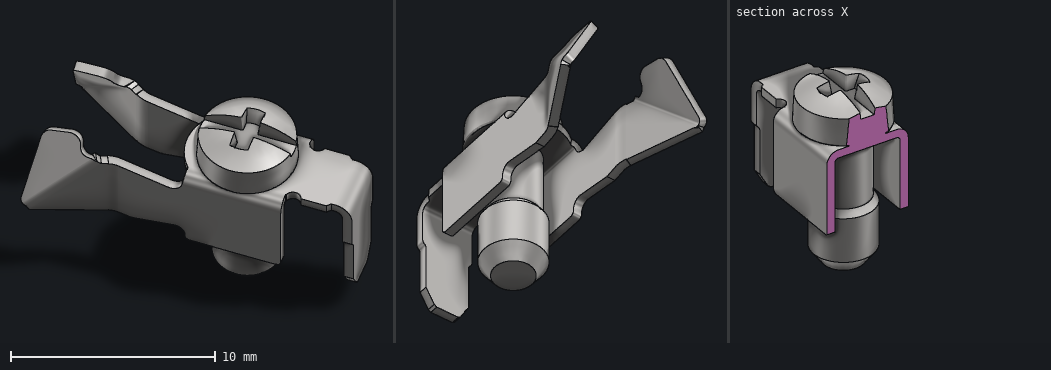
import cadquery as cq
import math


SHEET = 0.5
CLIP_HALF_WIDTH = 2.4
CHANNEL_RADIUS = 0.7
CHANNEL_BACK = 2.6
CHANNEL_FRONT = -2.62
CHANNEL_TOP_FRONT = -2.49
WALL_BOTTOM = -4.71
PLATE_HALF_WIDTH = CLIP_HALF_WIDTH - CHANNEL_RADIUS
PLATE_TIP = -3.14
BIG = 20.0

TAIL_BACK = 5.98
TAIL_BOTTOM = -6.53
TAIL_RADIUS = 0.9
TAIL_HALF_WIDTH = 1.5
TAIL_LOW_HALF_WIDTH = 1.3
TAIL_STEP_TOP = -2.6
TAIL_STEP_BOTTOM = -3.03
TAIL_TAPER_TOP = -5.57
TAIL_TAPER_BOTTOM = -6.43
TAIL_TAPER_HALF_WIDTH = 0.8
TAIL_TIP_HALF_WIDTH = 0.65
NECK_CHAMFER_START = 4.72
NECK_CHAMFER_END = 4.91
NOTCH_X = 3.02
NOTCH_RADIUS = 0.4
NOTCH_OFFSET = 0.12

ARM_LOWER_VERTEX = (-5.165, -4.22)
ARM_LOWER_SLOPE = 0.183
ARM_LOWER_BACK = (-2.4, -3.79)
ARM_UPPER_START = (-6.64, -0.353)
ARM_UPPER_SLOPE = 0.216
ARM_ROOT_TOP_RADIUS = 0.62
ARM_ROOT_BOTTOM_RADIUS = 0.5
WALL_CORNER_RADIUS = 0.25

SPLAY_ANGLE = 27.0
SPLAY_X = -6.11
SPLAY_RADIUS = 1.0
FLAP_ANGLE = 28.4
FLAP_Y = 2.65
FOLD_RADIUS = 0.8
FOLD_TOP_Z = -0.22
FOLD_BOTTOM_Z = -3.15
WEB_TIP_X = -9.83
FLAP_LOWER_TIP = (-10.33, -2.97)
FLAP_FRONT_CORNER = (-9.80, 0.60)
FLAP_TOP_CORNER = (-7.85, 0.87)
FLAP_NOTCH_CORNER = (-7.75, -0.10)
FLAP_NOTCH_END = (-7.15, -0.13)
FLAP_TIP_RADIUS = 0.35
FLAP_FRONT_RADIUS = 0.55
FLAP_TOP_RADIUS = 0.6
FLAP_NOTCH_RADIUS = 0.5

HEAD_RADIUS = 2.5
HEAD_TOP_RADIUS = 2.42
HEAD_RIM = 1.57
HEAD_APEX = 2.2
HEAD_EDGE_FILLET = 0.1
SHANK_RADIUS = 1.475
THREAD_RADIUS = 1.755
THREAD_TIP_RADIUS = 1.12
SHANK_END = -4.23
THREAD_START = -4.62
THREAD_END = -7.14
SCREW_BOTTOM = -8.0
SLOT_FLOOR = 1.315
SLOT_FLOOR_HALF_WIDTH = 0.38
SLOT_APEX_HALF_WIDTH = 0.497
CROSS_FLOOR_RADIUS = 0.96
CROSS_APEX_RADIUS = 1.42
RECESS_CORNER_RADIUS = 0.06

SPLAY_TAN = math.tan(math.radians(SPLAY_ANGLE))
SPLAY_COS = math.cos(math.radians(SPLAY_ANGLE))
SPLAY_SIN = math.sin(math.radians(SPLAY_ANGLE))
FLAP_TAN = math.tan(math.radians(FLAP_ANGLE))
FLAP_COS = math.cos(math.radians(FLAP_ANGLE))
FLAP_SIN = math.sin(math.radians(FLAP_ANGLE))

SPLAY_START_X = SPLAY_X + SPLAY_RADIUS * math.tan(math.radians(SPLAY_ANGLE / 2))
SPLAY_END_X = SPLAY_START_X - SPLAY_RADIUS * SPLAY_SIN

WEB_PLANE = cq.Plane(
    origin=(SPLAY_X, CLIP_HALF_WIDTH, 0),
    xDir=(-SPLAY_COS, SPLAY_SIN, 0),
    normal=(SPLAY_SIN, SPLAY_COS, 0),
)
FLAP_PLANE = cq.Plane(
    origin=(0, FLAP_Y, 0),
    xDir=(-1, 0, 0),
    normal=(0, FLAP_COS, FLAP_SIN),
)


def on_web(x, z):
    """Web plane coordinates of the web point at the given X and Z."""
    return ((SPLAY_X - x) / SPLAY_COS, z)


def on_flap(x, z):
    """Flap plane coordinates of the flap point at the given X and Z."""
    return (-x, z / FLAP_COS)


def fold_point(z):
    """X and Z of the point at height z where the web and flap planes meet."""
    return (SPLAY_X - (FLAP_Y - CLIP_HALF_WIDTH - z * FLAP_TAN) / SPLAY_TAN, z)


def arm_top(x):
    return ARM_UPPER_START[1] - ARM_UPPER_SLOPE * (x - ARM_UPPER_START[0])


def arm_bottom(x):
    return ARM_LOWER_VERTEX[1] + ARM_LOWER_SLOPE * (ARM_LOWER_VERTEX[0] - x)


def round_corner(body, direction, x, z, radius):
    """Fillet the edge running along a direction closest to the given X and Z."""
    edge = body.edges(direction).edges(cq.NearestToPointSelector((x, 0, z)))
    return edge.fillet(radius)


def side_outline():
    """Outline of the side wall and straight arm, extruded across the clip."""
    front = SPLAY_X - 2 * SHEET
    root_top = (CHANNEL_FRONT, arm_top(CHANNEL_FRONT))
    wall_front = ARM_LOWER_BACK[0]
    body = (
        cq.Workplane("XZ")
        .polyline([
            (front, arm_bottom(front)),
            ARM_LOWER_VERTEX,
            ARM_LOWER_BACK,
            (wall_front, WALL_BOTTOM),
            (CHANNEL_BACK, WALL_BOTTOM),
            (CHANNEL_BACK, 0),
            (CHANNEL_TOP_FRONT, 0),
            root_top,
            (front, arm_top(front)),
        ])
        .close()
        .extrude(CLIP_HALF_WIDTH * 2, both=True)
    )
    body = round_corner(body, "|Y", *root_top, ARM_ROOT_TOP_RADIUS)
    body = round_corner(body, "|Y", *ARM_LOWER_BACK, ARM_ROOT_BOTTOM_RADIUS)
    for x in (wall_front, CHANNEL_BACK):
        body = round_corner(body, "|Y", x, WALL_BOTTOM, WALL_CORNER_RADIUS)
    return body


def channel():
    """Plate and both side walls with rounded bends."""
    length = CHANNEL_BACK - CHANNEL_FRONT

    def solid_section(inset):
        height = -WALL_BOTTOM - inset
        return (
            cq.Workplane("XY")
            .box(length, 2 * (CLIP_HALF_WIDTH - inset), height, centered=(False, True, False))
            .translate((CHANNEL_FRONT, 0, WALL_BOTTOM))
            .edges("|X and >Z")
            .fillet(CHANNEL_RADIUS - inset)
        )

    return solid_section(0).cut(solid_section(SHEET))


def arm_strip():
    """Straight +Y arm and its splay bend in plan, over the full wall height."""
    inner_y = CLIP_HALF_WIDTH - SHEET
    center_y = CLIP_HALF_WIDTH + SPLAY_RADIUS
    inner_radius = SPLAY_RADIUS + SHEET

    def arc_point(radius, angle):
        turn = math.radians(angle)
        return (SPLAY_START_X - radius * math.sin(turn), center_y - radius * math.cos(turn))

    return (
        cq.Workplane("XY", origin=(0, 0, WALL_BOTTOM))
        .moveTo(CHANNEL_FRONT, CLIP_HALF_WIDTH)
        .lineTo(SPLAY_START_X, CLIP_HALF_WIDTH)
        .threePointArc(arc_point(SPLAY_RADIUS, SPLAY_ANGLE / 2), arc_point(SPLAY_RADIUS, SPLAY_ANGLE))
        .lineTo(*arc_point(inner_radius, SPLAY_ANGLE))
        .threePointArc(arc_point(inner_radius, SPLAY_ANGLE / 2), (SPLAY_START_X, inner_y))
        .lineTo(CHANNEL_FRONT, inner_y)
        .close()
        .extrude(-WALL_BOTTOM)
    )


def folded_block(inset):
    """Solid bounded by the web and flap planes, set in by the given depth, with a rounded fold."""
    web_block = cq.Workplane(WEB_PLANE).workplane(offset=-inset).rect(BIG, BIG).extrude(-BIG)
    flap_block = (
        cq.Workplane(FLAP_PLANE)
        .workplane(offset=-inset)
        .center(-SPLAY_X, 0)
        .rect(BIG, BIG)
        .extrude(-BIG)
    )
    fold = WEB_PLANE.zDir.cross(FLAP_PLANE.zDir)
    block = web_block.intersect(flap_block)
    fold_place = FLAP_PLANE.toWorldCoords(on_flap(*fold_point(FOLD_TOP_Z))).toTuple()
    nearest = block.edges(cq.ParallelDirSelector(fold)).edges(cq.NearestToPointSelector(fold_place))
    return nearest.fillet(FOLD_RADIUS - inset)


def folded_end():
    """Splayed web and leaning flap of the +Y arm."""
    fold_top = fold_point(FOLD_TOP_Z)
    fold_bottom = fold_point(FOLD_BOTTOM_Z)
    web_points = [
        fold_top,
        fold_bottom,
        (WEB_TIP_X, arm_bottom(WEB_TIP_X)),
        (SPLAY_END_X, arm_bottom(SPLAY_END_X)),
        (SPLAY_END_X, arm_top(SPLAY_END_X)),
        ARM_UPPER_START,
    ]
    flap_points = [
        fold_bottom,
        FLAP_LOWER_TIP,
        FLAP_FRONT_CORNER,
        FLAP_TOP_CORNER,
        FLAP_NOTCH_CORNER,
        FLAP_NOTCH_END,
        fold_top,
    ]
    depth = 2 * SHEET
    web = cq.Workplane(WEB_PLANE).polyline([on_web(*p) for p in web_points]).close().extrude(-depth)
    flap = cq.Workplane(FLAP_PLANE).polyline([on_flap(*p) for p in flap_points]).close().extrude(-depth)
    across_flap = cq.ParallelDirSelector(FLAP_PLANE.zDir)
    for corner, radius in (
        (FLAP_LOWER_TIP, FLAP_TIP_RADIUS),
        (FLAP_FRONT_CORNER, FLAP_FRONT_RADIUS),
        (FLAP_TOP_CORNER, FLAP_TOP_RADIUS),
        (FLAP_NOTCH_CORNER, FLAP_NOTCH_RADIUS),
    ):
        place = FLAP_PLANE.toWorldCoords(on_flap(*corner)).toTuple()
        flap = flap.edges(across_flap).edges(cq.NearestToPointSelector(place)).fillet(radius)
    shell = folded_block(0).cut(folded_block(SHEET))
    return shell.intersect(web).union(shell.intersect(flap))


def plate_extension():
    """Rounded front edge of the plate and the notched neck behind it."""
    neck_end = TAIL_BACK - TAIL_RADIUS
    plate = (
        cq.Workplane("XY")
        .moveTo(CHANNEL_TOP_FRONT, -PLATE_HALF_WIDTH)
        .lineTo(NECK_CHAMFER_START, -PLATE_HALF_WIDTH)
        .lineTo(NECK_CHAMFER_END, -TAIL_HALF_WIDTH)
        .lineTo(neck_end, -TAIL_HALF_WIDTH)
        .lineTo(neck_end, TAIL_HALF_WIDTH)
        .lineTo(NECK_CHAMFER_END, TAIL_HALF_WIDTH)
        .lineTo(NECK_CHAMFER_START, PLATE_HALF_WIDTH)
        .lineTo(CHANNEL_TOP_FRONT, PLATE_HALF_WIDTH)
        .threePointArc((PLATE_TIP, 0), (CHANNEL_TOP_FRONT, -PLATE_HALF_WIDTH))
        .close()
        .extrude(-SHEET)
    )
    notch_y = PLATE_HALF_WIDTH + NOTCH_OFFSET
    notches = (
        cq.Workplane("XY")
        .pushPoints([(NOTCH_X, notch_y), (NOTCH_X, -notch_y)])
        .circle(NOTCH_RADIUS)
        .extrude(-SHEET)
    )
    return plate.cut(notches)


def tail():
    """Bend and downward leg at the +X end, with a stepped and tapered outline."""
    start = TAIL_BACK - TAIL_RADIUS
    inner_radius = TAIL_RADIUS - SHEET
    diagonal = math.sqrt(0.5)
    strip = (
        cq.Workplane("XZ")
        .moveTo(start, 0)
        .threePointArc(
            (start + TAIL_RADIUS * diagonal, TAIL_RADIUS * (diagonal - 1)),
            (TAIL_BACK, -TAIL_RADIUS),
        )
        .lineTo(TAIL_BACK, TAIL_BOTTOM)
        .lineTo(TAIL_BACK - SHEET, TAIL_BOTTOM)
        .lineTo(TAIL_BACK - SHEET, -TAIL_RADIUS)
        .threePointArc(
            (start + inner_radius * diagonal, inner_radius * diagonal - TAIL_RADIUS),
            (start, -SHEET),
        )
        .close()
        .extrude(TAIL_HALF_WIDTH, both=True)
    )
    step_middle = (
        (TAIL_HALF_WIDTH + TAIL_LOW_HALF_WIDTH) / 2,
        (TAIL_STEP_TOP + TAIL_STEP_BOTTOM) / 2,
    )
    half_outline = (
        cq.Workplane("YZ")
        .lineTo(TAIL_HALF_WIDTH, 0)
        .lineTo(TAIL_HALF_WIDTH, TAIL_STEP_TOP)
        .tangentArcPoint(step_middle, relative=False)
        .tangentArcPoint((TAIL_LOW_HALF_WIDTH, TAIL_STEP_BOTTOM), relative=False)
        .lineTo(TAIL_LOW_HALF_WIDTH, TAIL_TAPER_TOP)
        .lineTo(TAIL_TAPER_HALF_WIDTH, TAIL_TAPER_BOTTOM)
        .lineTo(TAIL_TIP_HALF_WIDTH, TAIL_BOTTOM)
        .lineTo(0, TAIL_BOTTOM)
        .close()
        .extrude(BIG)
    )
    outline = half_outline.union(half_outline.mirror("XZ"))
    return strip.intersect(outline)


def clip():
    arm = arm_strip()
    sides = channel().union(arm).union(arm.mirror("XZ")).intersect(side_outline())
    end = folded_end()
    return sides.union(end).union(end.mirror("XZ")).union(plate_extension()).union(tail())


def tapered_slot(plane):
    """Slot through the whole head, running along the normal of the given plane."""
    return (
        cq.Workplane(plane)
        .polyline([
            (-SLOT_FLOOR_HALF_WIDTH, SLOT_FLOOR),
            (SLOT_FLOOR_HALF_WIDTH, SLOT_FLOOR),
            (SLOT_APEX_HALF_WIDTH, HEAD_APEX),
            (-SLOT_APEX_HALF_WIDTH, HEAD_APEX),
        ])
        .close()
        .extrude(HEAD_RADIUS, both=True)
    )


def drive_recess():
    """Full-width slot along X with a shorter cross slot along Y that has conical ends."""
    cone = (
        cq.Workplane("XY", origin=(0, 0, SLOT_FLOOR))
        .circle(CROSS_FLOOR_RADIUS)
        .workplane(offset=HEAD_APEX - SLOT_FLOOR)
        .circle(CROSS_APEX_RADIUS)
        .loft()
    )
    recess = tapered_slot("YZ").union(tapered_slot("XZ").intersect(cone))
    inner_corners = cq.selectors.BoxSelector(
        (-SLOT_APEX_HALF_WIDTH, -SLOT_APEX_HALF_WIDTH, SLOT_FLOOR + RECESS_CORNER_RADIUS),
        (SLOT_APEX_HALF_WIDTH, SLOT_APEX_HALF_WIDTH, HEAD_APEX - RECESS_CORNER_RADIUS),
    )
    return recess.edges(inner_corners).fillet(RECESS_CORNER_RADIUS)


def screw():
    dome_radius = (HEAD_TOP_RADIUS**2 + (HEAD_APEX - HEAD_RIM)**2) / (2 * (HEAD_APEX - HEAD_RIM))
    dome_mid_r = HEAD_TOP_RADIUS / 2
    dome_mid_z = HEAD_APEX - dome_radius + math.sqrt(dome_radius**2 - dome_mid_r**2)
    head = (
        cq.Workplane("XZ")
        .lineTo(HEAD_RADIUS, 0)
        .lineTo(HEAD_TOP_RADIUS, HEAD_RIM)
        .threePointArc((dome_mid_r, dome_mid_z), (0, HEAD_APEX))
        .close()
        .revolve(360, (0, 0), (0, 1))
        .faces("<Z")
        .edges()
        .fillet(HEAD_EDGE_FILLET)
    )
    shank = (
        cq.Workplane("XZ")
        .polyline([
            (0, 0),
            (SHANK_RADIUS, 0),
            (SHANK_RADIUS, SHANK_END),
            (THREAD_RADIUS, THREAD_START),
            (THREAD_RADIUS, THREAD_END),
            (THREAD_TIP_RADIUS, SCREW_BOTTOM),
            (0, SCREW_BOTTOM),
        ])
        .close()
        .revolve(360, (0, 0), (0, 1))
    )
    return head.cut(drive_recess()).union(shank)


result = clip().union(screw())